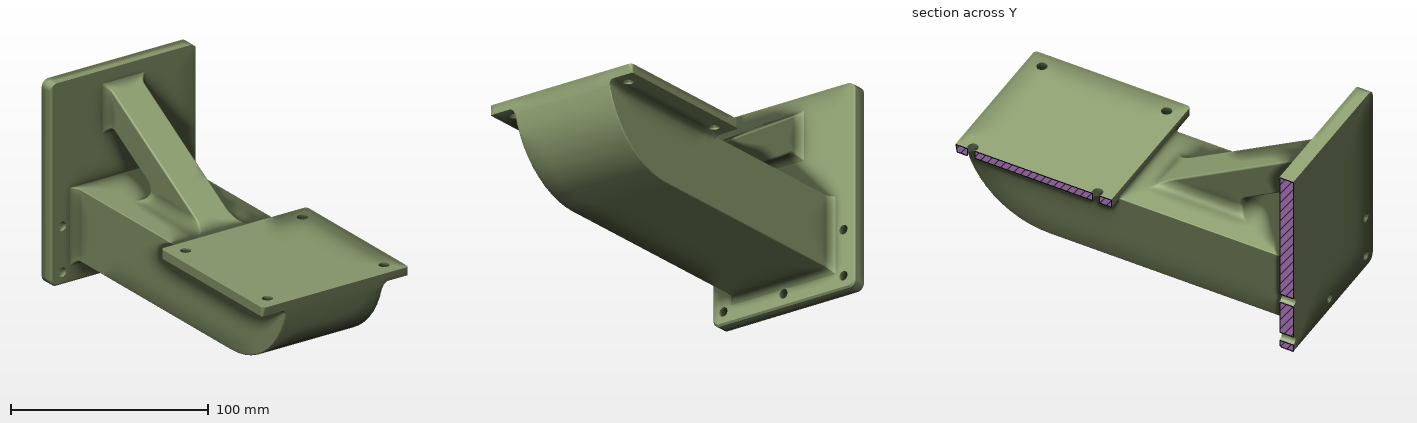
import cadquery as cq
import math

WALL_THICKNESS = 8.0
WALL_WIDTH = 90.0
WALL_HEIGHT = 112.42
WALL_CORNER_RADIUS = 4.0
WALL_CHAMFER = 1.0
WALL_HOLE_DIAMETER = 5.08
WALL_HOLE_OFFSET_Y = 38.0
WALL_HOLE_LOW_Z = 7.0
WALL_HOLE_HIGH_Z = 32.4

REACH = 195.0
TOP_SIZE = 90.0
TOP_THICKNESS = 5.0
TOP_CORNER_RADIUS = 2.0
TOP_HOLE_DIAMETER = 5.7
TOP_HOLE_PITCH = 72.0
TOP_START_X = REACH - TOP_SIZE
TOP_CENTER_X = REACH - TOP_SIZE / 2

ARM_WIDTH = 60.0
ARM_HEIGHT = 40.0
ARM_EDGE_RADIUS = 0.5
NOSE_RADIUS = 50.0
ARM_BOTTOM_Z = 12.42
ARM_TOP_Z = ARM_BOTTOM_Z + ARM_HEIGHT
TOP_Z = ARM_TOP_Z + TOP_THICKNESS
NOSE_CENTER_Z = ARM_BOTTOM_Z + NOSE_RADIUS
NOSE_CENTER_X = REACH - math.sqrt(NOSE_RADIUS**2 - (NOSE_CENTER_Z - TOP_Z) ** 2)

BRACE_WIDTH = 20.0
BRACE_ANGLE = math.radians(30.5)
BRACE_TOE_X = 95.0
BRACE_HEEL_X = 45.3
BRACE_DEPTH = 17.2
BRACE_THROAT_RADIUS = 5.0
BRACE_EDGE_RADIUS = 1.0

TOLERANCE = 0.01

WALL_BLEND_BASE_X = 7.62
WALL_BLEND_RADIUS = 5.0
WALL_BLEND_END_X = WALL_BLEND_BASE_X + WALL_BLEND_RADIUS
BRACE_BLEND_RADIUS = 6.0
TOP_SIDE_BLEND_RADIUS = 3.0
TOP_FRONT_BLEND_RADIUS = 2.0


def make_wall_blank(thickness, inset=0.0):
    width = WALL_WIDTH - 2 * inset
    height = WALL_HEIGHT - 2 * inset
    blank = cq.Workplane("XY").box(thickness, width, height, centered=(False, True, False))
    return blank.translate((0, 0, inset))


def make_wall_plate():
    """Rounded plate whose front edge is chamfered along the sides and the bottom only."""
    plate = make_wall_blank(WALL_THICKNESS).edges("|X and <Z").fillet(WALL_CORNER_RADIUS)
    plate = plate.faces(">X").edges("not >Z").chamfer(WALL_CHAMFER)
    rounded = make_wall_blank(WALL_THICKNESS).edges("|X").fillet(WALL_CORNER_RADIUS)
    return plate.intersect(rounded)


def make_blend_base():
    """Core of the wall plate that the wall blends are tangent to."""
    return make_wall_blank(WALL_BLEND_BASE_X, WALL_CORNER_RADIUS)


def trim_to_nose(body):
    """Keep the part of a body that lies within the rounded nose of the arm."""
    straight = cq.Workplane("XY", origin=(0, 0, ARM_BOTTOM_Z)).box(
        NOSE_CENTER_X, WALL_WIDTH, TOP_Z - ARM_BOTTOM_Z, centered=(False, True, False)
    )
    nose = (
        cq.Workplane("XZ", origin=(NOSE_CENTER_X, 0, NOSE_CENTER_Z))
        .circle(NOSE_RADIUS)
        .extrude(WALL_WIDTH / 2, both=True)
    )
    return body.intersect(straight.union(nose))


def make_arm():
    beam = cq.Workplane("XY", origin=(WALL_BLEND_BASE_X, 0, ARM_BOTTOM_Z)).box(
        REACH - WALL_BLEND_BASE_X, ARM_WIDTH, ARM_HEIGHT, centered=(False, True, False)
    )
    return trim_to_nose(beam)


def make_top_plate():
    plate = (
        cq.Workplane("XY", origin=(TOP_CENTER_X, 0, ARM_TOP_Z))
        .rect(TOP_SIZE, TOP_SIZE)
        .extrude(TOP_THICKNESS)
        .edges("|Z")
        .fillet(TOP_CORNER_RADIUS)
    )
    return trim_to_nose(plate)


def make_brace():
    slope = math.tan(BRACE_ANGLE)
    rise = (BRACE_TOE_X - WALL_BLEND_BASE_X) * slope
    drop = BRACE_DEPTH / math.cos(BRACE_ANGLE)
    heel_z = ARM_TOP_Z + (BRACE_TOE_X - BRACE_HEEL_X) * slope - drop
    brace = (
        cq.Workplane("XZ")
        .moveTo(BRACE_TOE_X, ARM_TOP_Z)
        .lineTo(WALL_BLEND_BASE_X, ARM_TOP_Z + rise)
        .lineTo(WALL_BLEND_BASE_X, ARM_TOP_Z + rise - drop)
        .lineTo(BRACE_HEEL_X, heel_z)
        .lineTo(BRACE_HEEL_X, ARM_TOP_Z)
        .close()
        .extrude(BRACE_WIDTH / 2, both=True)
    )
    throat = cq.selectors.NearestToPointSelector((BRACE_HEEL_X, 0, heel_z))
    return brace.edges("|Y").edges(throat).fillet(BRACE_THROAT_RADIUS)


def edges_in_box(body, low, high):
    """Select the edges that lie entirely within a box given by two corners."""
    return body.edges(cq.selectors.BoxSelector(low, high, boundingbox=True))


def blend_brace_foot(body):
    """Fillet the closed loop where the brace stands on the arm."""
    foot = edges_in_box(
        body,
        (BRACE_HEEL_X - TOLERANCE, -BRACE_WIDTH / 2 - TOLERANCE, ARM_TOP_Z - TOLERANCE),
        (BRACE_TOE_X + TOLERANCE, BRACE_WIDTH / 2 + TOLERANCE, ARM_TOP_Z + TOLERANCE),
    )
    return foot.fillet(BRACE_BLEND_RADIUS)


def blend_wall_joint(body, width, bottom_z, top_z):
    """Fillet the joint with the wall plate between two heights."""
    joint = edges_in_box(
        body,
        (WALL_BLEND_BASE_X - TOLERANCE, -width / 2 - TOLERANCE, bottom_z - TOLERANCE),
        (WALL_BLEND_BASE_X + TOLERANCE, width / 2 + TOLERANCE, top_z + TOLERANCE),
    )
    joint = joint.filter(lambda edge: abs(edge.Center().z - ARM_TOP_Z) > TOLERANCE)
    return joint.fillet(WALL_BLEND_RADIUS)


def round_side_edges(body, width, radius, belongs):
    """Round the edges of two side faces and the tangent curves that continue them."""

    def on_side(edge):
        box = edge.BoundingBox()
        in_side_plane = box.ylen < TOLERANCE and abs(abs(edge.Center().y) - width / 2) < TOLERANCE
        return in_side_plane and box.xlen > TOLERANCE

    return body.edges().filter(on_side).filter(belongs).fillet(radius)


def is_free_brace_edge(edge):
    """True above the foot blend, where only the sloping and throat edges lie."""
    return edge.Center().z > ARM_TOP_Z + BRACE_BLEND_RADIUS + TOLERANCE


def is_lower_arm_edge(edge):
    return edge.Center().z < ARM_TOP_Z - TOLERANCE


def round_arm_top_edges(body):
    """Round the top edges of the arm from the top plate until they run into the wall plate."""
    radius = ARM_EDGE_RADIUS
    half_width = ARM_WIDTH / 2
    blend_center_y = half_width + WALL_BLEND_RADIUS
    turn = math.asin(WALL_BLEND_RADIUS / (WALL_BLEND_RADIUS + radius))

    def on_blend(angle):
        return (
            WALL_BLEND_END_X - WALL_BLEND_RADIUS * math.sin(angle),
            blend_center_y - WALL_BLEND_RADIUS * math.cos(angle),
        )

    path = (
        cq.Workplane("XY", origin=(0, 0, ARM_TOP_Z))
        .moveTo(TOP_START_X, half_width)
        .lineTo(WALL_BLEND_END_X, half_width)
        .threePointArc(on_blend(turn / 2), on_blend(turn))
    )
    waste = (
        cq.Workplane("YZ", origin=(TOP_START_X, half_width, ARM_TOP_Z))
        .lineTo(-radius, 0)
        .radiusArc((0, -radius), radius)
        .close()
        .sweep(path)
    )
    return body.cut(waste).cut(waste.mirror("XZ"))


def make_side_blends():
    """Concave strips under the top plate along both sides of the arm."""
    radius = TOP_SIDE_BLEND_RADIUS
    reach_y = ARM_WIDTH / 2 + radius
    strip = cq.Workplane("XY", origin=(TOP_START_X, 0, ARM_TOP_Z - radius)).box(
        TOP_SIZE, 2 * reach_y, radius, centered=(False, True, False)
    )
    for side in (-1, 1):
        hollow = (
            cq.Workplane("YZ", origin=(TOP_START_X, side * reach_y, ARM_TOP_Z - radius))
            .circle(radius)
            .extrude(TOP_SIZE)
        )
        strip = strip.cut(hollow)
    return trim_to_nose(strip)


def make_front_blend():
    """Concave strip between the top of the arm and the near edge of the top plate."""
    radius = TOP_FRONT_BLEND_RADIUS
    length = ARM_WIDTH - 2 * ARM_EDGE_RADIUS
    return (
        cq.Workplane("XZ", origin=(TOP_START_X, length / 2, ARM_TOP_Z))
        .lineTo(-radius, 0)
        .radiusArc((0, radius), -radius)
        .close()
        .extrude(length)
    )


def cut_wall_holes(body):
    points = [
        (-WALL_HOLE_OFFSET_Y, WALL_HOLE_HIGH_Z),
        (WALL_HOLE_OFFSET_Y, WALL_HOLE_HIGH_Z),
        (-WALL_HOLE_OFFSET_Y, WALL_HOLE_LOW_Z),
        (0, WALL_HOLE_LOW_Z),
        (WALL_HOLE_OFFSET_Y, WALL_HOLE_LOW_Z),
    ]
    holes = cq.Workplane("YZ").pushPoints(points).circle(WALL_HOLE_DIAMETER / 2).extrude(WALL_BLEND_END_X)
    return body.cut(holes)


def cut_top_holes(body):
    holes = (
        cq.Workplane("XY", origin=(TOP_CENTER_X, 0, ARM_TOP_Z))
        .rect(TOP_HOLE_PITCH, TOP_HOLE_PITCH, forConstruction=True)
        .vertices()
        .circle(TOP_HOLE_DIAMETER / 2)
        .extrude(TOP_THICKNESS)
    )
    return body.cut(holes)


body = make_arm().union(make_brace()).union(make_blend_base())
body = blend_brace_foot(body)
body = blend_wall_joint(body, BRACE_WIDTH, ARM_TOP_Z, WALL_HEIGHT)
body = blend_wall_joint(body, ARM_WIDTH, ARM_BOTTOM_Z, ARM_TOP_Z)
body = round_side_edges(body, BRACE_WIDTH, BRACE_EDGE_RADIUS, is_free_brace_edge)
body = round_side_edges(body, ARM_WIDTH, ARM_EDGE_RADIUS, is_lower_arm_edge)
body = round_arm_top_edges(body)
body = body.union(make_wall_plate())
body = body.union(make_top_plate())
body = body.union(make_side_blends())
body = body.union(make_front_blend())
body = cut_wall_holes(body)
result = cut_top_holes(body)